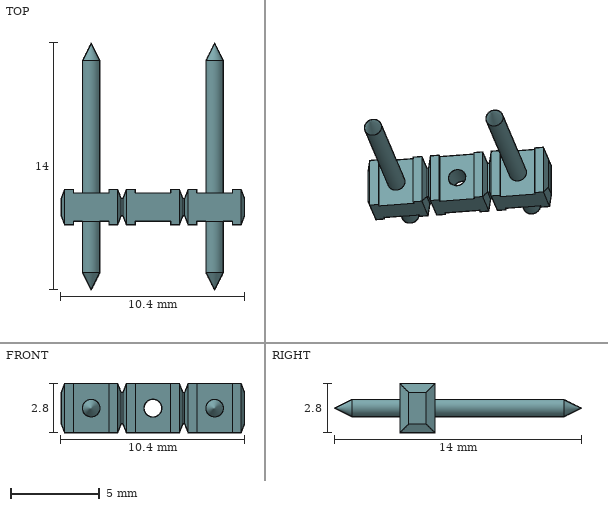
import cadquery as cq

pitch = 3.5
block_count = 3
block_width = 3.01
block_depth = 2.0
block_height = 2.8
taper_length = 0.2
taper_inset = 0.5
recess_width = 2.0
recess_depth = 0.2
pin_diameter = 1.0
pin_length = 14.0
pin_front_tip = -4.7
pin_point_length = 1.0

pin_radius = pin_diameter / 2
pin_rear_tip = pin_front_tip + pin_length
tip_depth = block_depth - 2 * taper_inset
tip_height = block_height - 2 * taper_inset
row_length = (block_count - 1) * pitch + block_width
block_centers = [(i - (block_count - 1) / 2) * pitch for i in range(block_count)]


def make_taper():
    """Pyramid frustum growing outward from the +X side of a block."""
    return (
        cq.Workplane("YZ").workplane(offset=block_width / 2)
        .rect(block_depth, block_height)
        .workplane(offset=taper_length)
        .rect(tip_depth, tip_height)
        .loft(ruled=True)
    )


def make_block(center_x):
    """Block with tapered ends and a shallow vertical recess front and back."""
    block = cq.Workplane("XY").box(block_width, block_depth, block_height)
    for side in (-1, 1):
        recess = cq.Workplane("XY").box(recess_width, 2 * recess_depth, block_height)
        block = block.cut(recess.translate((0, side * block_depth / 2, 0)))
    right_taper = make_taper()
    left_taper = right_taper.mirror("YZ")
    return block.union(right_taper).union(left_taper).translate((center_x, 0, 0))


def make_pin(center_x):
    """Round pin along Y, pointed at both ends."""
    half_profile = [
        (0, pin_front_tip),
        (pin_radius, pin_front_tip + pin_point_length),
        (pin_radius, pin_rear_tip - pin_point_length),
        (0, pin_rear_tip),
    ]
    pin = cq.Workplane("XY").polyline(half_profile).close().revolve(360, (0, 0), (0, 1))
    return pin.translate((center_x, 0, 0))


result = cq.Workplane("XY").box(row_length, tip_depth, tip_height)
for x in block_centers:
    result = result.union(make_block(x))

hole = cq.Workplane("XZ").circle(pin_radius).extrude(block_depth, both=True)
result = result.cut(hole)

for x in (block_centers[0], block_centers[-1]):
    result = result.union(make_pin(x))